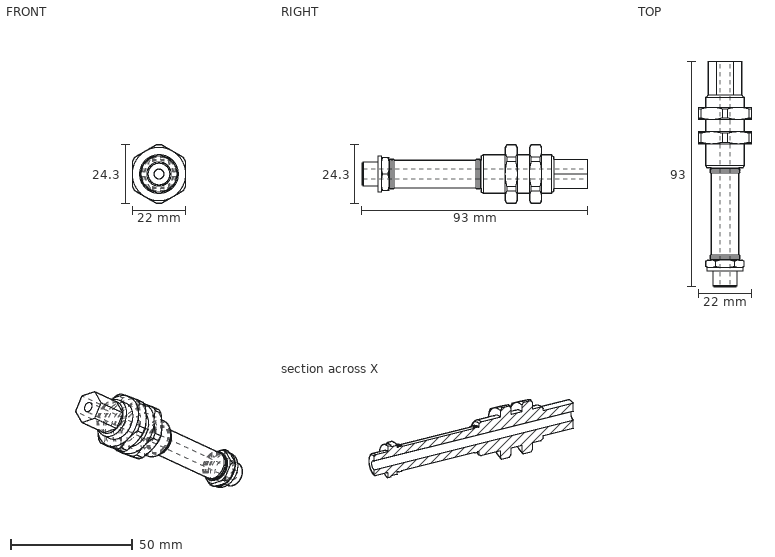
import cadquery as cq
import math

TOTAL_LENGTH = 93.0
BORE_DIAMETER = 4.0

HALF_SECTOR = 30.0
HEX_CHAMFER_ANGLE = 30.0

STUB_DIAMETER = 10.0
STUB_LENGTH = 6.4
STUB_CHAMFER = 0.6
FLANGE_DIAMETER = 15.0
FLANGE_LENGTH = 1.6
SMALL_HEX_FLATS = 13.8
SMALL_HEX_LENGTH = 3.0
SMALL_HEX_CHAMFER_DIAMETER = 14.4

TUBE_DIAMETER = 11.5
BEAD_WIDTH = 0.8
BEAD_HEIGHT = 0.4
BEADS_PER_END = 2
BEAD_GAP = 0.5

BODY_DIAMETER = 16.0
BODY_LENGTH = 30.0
BODY_FRONT_CHAMFER_LENGTH = 0.9
BODY_FRONT_CHAMFER_DEPTH = 0.6
BODY_REAR_CHAMFER = 1.0
REAR_HEX_FLATS = 12.0
REAR_HEX_LENGTH = 13.95

NUT_FLATS = 22.0
NUT_CORNER_DIAMETER = 24.3
NUT_CHAMFER_DIAMETER = NUT_FLATS
NUT_LENGTH = 5.0
NUT_SPACING = 5.0

flange_rear = STUB_LENGTH + FLANGE_LENGTH
tube_front = flange_rear + SMALL_HEX_LENGTH
body_rear = TOTAL_LENGTH - REAR_HEX_LENGTH
body_front = body_rear - BODY_LENGTH
rear_nut_front = body_rear - NUT_SPACING - NUT_LENGTH
front_nut_front = rear_nut_front - NUT_SPACING - NUT_LENGTH


def cylinder(diameter, y_start, length):
    """Round bar along Y that starts at y_start."""
    plane = cq.Workplane("XZ", origin=(0, y_start, 0))
    return plane.circle(diameter / 2).extrude(-length)


def hexagon(across_flats, y_start, length, turn=0.0):
    """Hexagonal bar along Y with corners on the X axis, turned about Y by the given angle."""
    plane = cq.Workplane("XZ", origin=(0, y_start, 0)).transformed(rotate=(0, 0, turn))
    corner_diameter = across_flats / math.cos(math.radians(HALF_SECTOR))
    return plane.polygon(6, corner_diameter).extrude(-length)


def revolved(outline):
    """Solid of revolution about Y from (radius, y) points."""
    return cq.Workplane("XY").polyline(outline).close().revolve(360, (0, 0, 0), (0, 1, 0))


def chamfered_hexagon(across_flats, corner_diameter, face_diameter, y_start, length, turn=0.0):
    """Hexagon trimmed by a round blank whose two rims are chamfered down to face_diameter."""
    corner_radius = corner_diameter / 2
    face_radius = face_diameter / 2
    run = (corner_radius - face_radius) * math.tan(math.radians(HEX_CHAMFER_ANGLE))
    y_end = y_start + length
    blank_outline = [
        (0, y_start),
        (face_radius, y_start),
        (corner_radius, y_start + run),
        (corner_radius, y_end - run),
        (face_radius, y_end),
        (0, y_end),
    ]
    return hexagon(across_flats, y_start, length, turn).intersect(revolved(blank_outline))


def bead(y_start):
    """Ring around the tube with a rounded crest."""
    tube_radius = TUBE_DIAMETER / 2
    crest = (tube_radius + BEAD_HEIGHT, y_start + BEAD_WIDTH / 2)
    outline = (
        cq.Workplane("XY")
        .moveTo(0, y_start)
        .lineTo(tube_radius, y_start)
        .threePointArc(crest, (tube_radius, y_start + BEAD_WIDTH))
        .lineTo(0, y_start + BEAD_WIDTH)
        .close()
    )
    return outline.revolve(360, (0, 0, 0), (0, 1, 0))


def turned_core():
    """Stub, flange, tube and body as one stepped, chamfered shaft."""
    stub_radius = STUB_DIAMETER / 2
    flange_radius = FLANGE_DIAMETER / 2
    tube_radius = TUBE_DIAMETER / 2
    body_radius = BODY_DIAMETER / 2
    return revolved([
        (0, 0),
        (stub_radius - STUB_CHAMFER, 0),
        (stub_radius, STUB_CHAMFER),
        (stub_radius, STUB_LENGTH),
        (flange_radius, STUB_LENGTH),
        (flange_radius, flange_rear),
        (tube_radius, flange_rear),
        (tube_radius, body_front),
        (body_radius - BODY_FRONT_CHAMFER_DEPTH, body_front),
        (body_radius, body_front + BODY_FRONT_CHAMFER_LENGTH),
        (body_radius, body_rear - BODY_REAR_CHAMFER),
        (body_radius - BODY_REAR_CHAMFER, body_rear),
        (0, body_rear),
    ])


def small_hexagon():
    """Wrench hexagon behind the flange, with only its corners chamfered."""
    full_corner_diameter = SMALL_HEX_FLATS / math.cos(math.radians(HALF_SECTOR))
    return chamfered_hexagon(
        SMALL_HEX_FLATS, full_corner_diameter, SMALL_HEX_CHAMFER_DIAMETER,
        flange_rear, SMALL_HEX_LENGTH,
    )


def lock_nut(y_start):
    """Lock nut with flats facing +X and -X and rounded corners."""
    return chamfered_hexagon(
        NUT_FLATS, NUT_CORNER_DIAMETER, NUT_CHAMFER_DIAMETER,
        y_start, NUT_LENGTH, turn=HALF_SECTOR,
    )


result = turned_core().union(small_hexagon())

bead_pair_width = BEADS_PER_END * BEAD_WIDTH
for first_bead in (tube_front + BEAD_GAP, body_front - BEAD_GAP - bead_pair_width):
    for index in range(BEADS_PER_END):
        result = result.union(bead(first_bead + index * BEAD_WIDTH))

for nut_front in (front_nut_front, rear_nut_front):
    result = result.union(lock_nut(nut_front))

result = result.union(hexagon(REAR_HEX_FLATS, body_rear, REAR_HEX_LENGTH))

result = result.cut(cylinder(BORE_DIAMETER, 0, TOTAL_LENGTH))